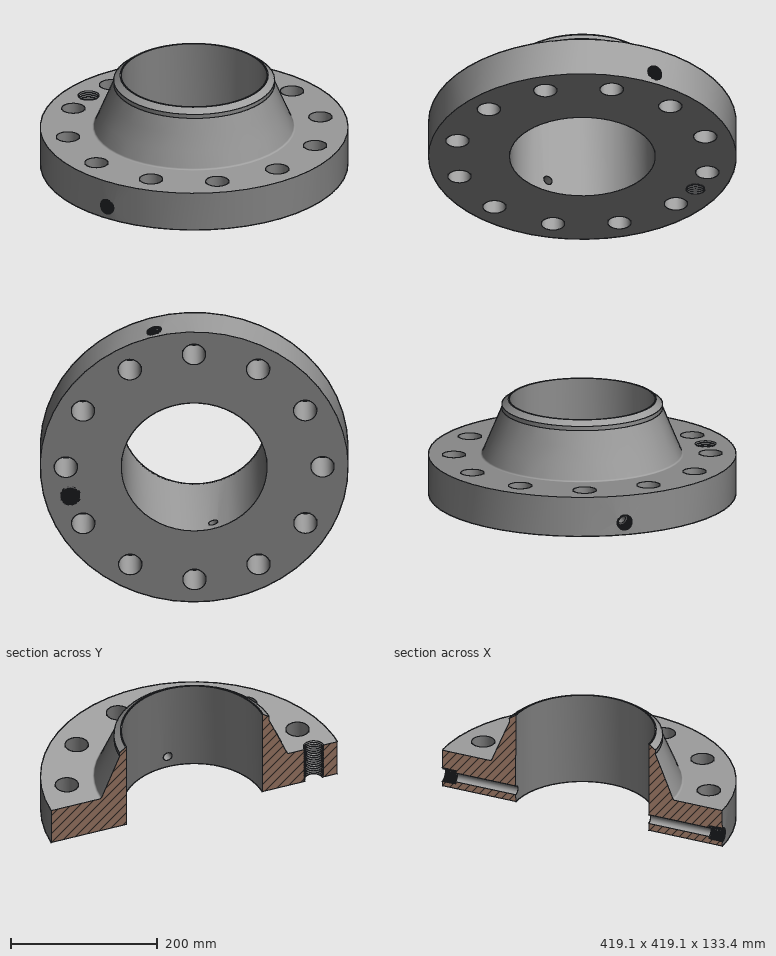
import cadquery as cq
import math

flange_diameter = 419.1
flange_thickness = 55.6
overall_height = 133.35
bolt_circle_radius = 349.2 / 2
bolt_hole_diameter = 31.75
bolt_count = 12

bore_radius = 198.45 / 2
hub_base_radius = 273.05 / 2
hub_base_fillet = 3.0
neck_radius = 219.1 / 2
neck_straight_start = overall_height - 12.7
weld_land = 1.6
bevel_angle = 37.5
bevel_height = (neck_radius - bore_radius - weld_land) * math.tan(math.radians(bevel_angle))

jackscrew_major_radius = 28.575 / 2
jackscrew_minor_radius = 25.15 / 2
jackscrew_pitch = 25.4 / 8

tap_height = 17.5
tap_bore_radius = 12.7 / 2
tap_major_radius = 21.34 / 2
tap_minor_radius = 18.3 / 2
tap_pitch = 25.4 / 14
tap_thread_turns = 11
tap_taper = 1 / 32


def make_body():
    """Revolve the disc, tapered hub and bevelled neck around Z."""
    flange_radius = flange_diameter / 2
    body = (
        cq.Workplane("XZ")
        .moveTo(bore_radius, 0)
        .lineTo(flange_radius, 0)
        .lineTo(flange_radius, flange_thickness)
        .lineTo(hub_base_radius, flange_thickness)
        .lineTo(neck_radius, neck_straight_start)
        .lineTo(neck_radius, overall_height - bevel_height)
        .lineTo(bore_radius + weld_land, overall_height)
        .lineTo(bore_radius, overall_height)
        .close()
        .revolve(360, (0, 0, 0), (0, 1, 0))
    )
    hub_base_edge = body.edges("%CIRCLE").filter(lambda edge: math.isclose(edge.radius(), hub_base_radius))
    return hub_base_edge.fillet(hub_base_fillet)


def make_bolt_holes():
    """Bolt holes straddle the X and Y axes."""
    step = 360 / bolt_count
    return (
        cq.Workplane("XY")
        .polarArray(bolt_circle_radius, step / 2, 360, bolt_count)
        .circle(bolt_hole_diameter / 2)
        .extrude(flange_thickness)
    )


def threaded_cutter(major_radius, minor_radius, pitch, turns, taper=0):
    """Ringed thread cutter along +Z, starting at the mouth; one V groove per pitch."""
    length = turns * pitch
    profile = cq.Workplane("XZ").lineTo(major_radius, 0)
    for turn in range(turns):
        crest_depth = (turn + 0.5) * pitch
        root_depth = (turn + 1) * pitch
        profile = profile.lineTo(minor_radius - taper * crest_depth, crest_depth)
        profile = profile.lineTo(major_radius - taper * root_depth, root_depth)
    return profile.lineTo(0, length).close().revolve(360, (0, 0, 0), (0, 1, 0))


def make_jackscrew_hole():
    turns = math.ceil(flange_thickness / jackscrew_pitch)
    cutter = threaded_cutter(jackscrew_major_radius, jackscrew_minor_radius, jackscrew_pitch, turns)
    return cutter.rotate((0, 0, 0), (1, 0, 0), 180).translate((-bolt_circle_radius, 0, flange_thickness))


def make_pressure_tap():
    """Tapered threaded mouth on the -Y rim, continued by a plain hole into the bore."""
    rim = flange_diameter / 2
    mouth = threaded_cutter(tap_major_radius, tap_minor_radius, tap_pitch, tap_thread_turns, tap_taper)
    passage = cq.Workplane("XY").circle(tap_bore_radius).extrude(rim)
    tap = mouth.union(passage)
    return tap.rotate((0, 0, 0), (1, 0, 0), -90).translate((0, -rim, tap_height))


front_tap = make_pressure_tap()
result = (
    make_body()
    .cut(make_bolt_holes())
    .cut(make_jackscrew_hole())
    .cut(front_tap)
    .cut(front_tap.mirror("XZ"))
)